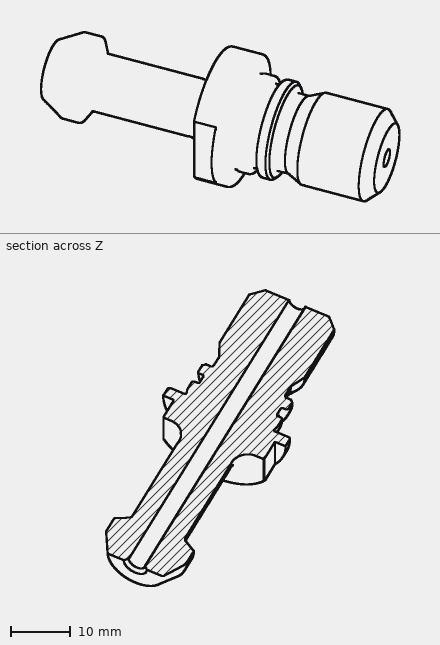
import cadquery as cq
import math

HEAD_CONE_END = 4.0
HEAD_LAND_END = 7.0
FLANGE_FRONT = 29.0
FLANGE_REAR = 35.0
COLLAR_END = 35.35
PILOT_START = 36.0
GROOVE_START = 38.0
GROOVE_END = 39.75
PILOT_END = 42.0
SHANK_START = 47.0
TOTAL_LENGTH = 60.0

HEAD_DIAMETER = 15.0
NECK_DIAMETER = 10.0
NECK_RELIEF_DIAMETER = 9.9
FLANGE_DIAMETER = 23.0
PILOT_DIAMETER = 17.0
COLLAR_DIAMETER = 16.6
GROOVE_DIAMETER = 14.6
RELIEF_DIAMETER = 13.5
SHANK_DIAMETER = 16.0
BORE_DIAMETER = 3.0
COUNTERSINK_DIAMETER = 4.3

HEAD_FRONT_ANGLE = 30.0
HEAD_REAR_ANGLE = 60.0
HEAD_SHOULDER_FILLET = 0.2
NECK_ROOT_FILLET = 0.7
NECK_FLARE_RADIUS = 3.0
NECK_RELIEF_LENGTH = 0.35
NECK_TAPER_LENGTH = 0.18

FLATS_WIDTH = 19.0
FLAT_LENGTH = 4.0
FLAT_CHAMFER = 0.15

COLLAR_FILLET = 0.2
GROOVE_LIP_FILLET = 0.4
GROOVE_ROOT_FILLET = 0.2
PILOT_CHAMFER = 0.5
SHANK_CONE_ANGLE = 25.0
SHANK_CHAMFER = 2.0

EDGE_FILLET = 0.4


def revolve_outline(outline):
    """Turn a half outline about the X axis."""
    return outline.close().revolve(360, (0, 0, 0), (1, 0, 0))


def round_ring(body, station, radius, fillet):
    """Fillet the circular edge of a turned body at one X station."""
    ring_reach = 0.01
    ring = cq.selectors.BoxSelector(
        (station - ring_reach, -radius, -radius), (station + ring_reach, radius, radius)
    )
    return body.edges(ring).fillet(fillet)


def make_head_and_neck():
    """Conical pull head and the neck, which flares into the flange."""
    head_radius = HEAD_DIAMETER / 2
    neck_radius = NECK_DIAMETER / 2
    relief_radius = NECK_RELIEF_DIAMETER / 2
    tip_radius = head_radius - HEAD_CONE_END * math.tan(math.radians(HEAD_FRONT_ANGLE))
    neck_start = HEAD_LAND_END + (head_radius - neck_radius) / math.tan(math.radians(HEAD_REAR_ANGLE))
    flare_start = FLANGE_FRONT - NECK_FLARE_RADIUS
    relief_start = flare_start - NECK_RELIEF_LENGTH
    body = revolve_outline(
        cq.Workplane("XY")
        .lineTo(0, tip_radius)
        .lineTo(HEAD_CONE_END, head_radius)
        .lineTo(HEAD_LAND_END, head_radius)
        .lineTo(neck_start, neck_radius)
        .lineTo(relief_start, neck_radius)
        .lineTo(relief_start + NECK_TAPER_LENGTH, relief_radius)
        .lineTo(flare_start, relief_radius)
        .radiusArc((FLANGE_FRONT, relief_radius + NECK_FLARE_RADIUS), -NECK_FLARE_RADIUS)
        .lineTo(FLANGE_FRONT, 0)
    )
    body = round_ring(body, 0, head_radius, EDGE_FILLET)
    body = round_ring(body, HEAD_CONE_END, head_radius, EDGE_FILLET)
    body = round_ring(body, HEAD_LAND_END, head_radius, HEAD_SHOULDER_FILLET)
    return round_ring(body, neck_start, head_radius, NECK_ROOT_FILLET)


def make_flange():
    """Round flange with two wrench flats that start at its front face."""
    flange_radius = FLANGE_DIAMETER / 2
    flat_offset = FLATS_WIDTH / 2
    flat_end = FLANGE_FRONT + FLAT_LENGTH
    flange = cq.Workplane("YZ", origin=(FLANGE_FRONT, 0, 0)).circle(flange_radius)
    flange = flange.extrude(FLANGE_REAR - FLANGE_FRONT).edges("%CIRCLE").fillet(EDGE_FILLET)
    flat_cutter = (
        cq.Workplane("XY")
        .moveTo(FLANGE_FRONT, flat_offset - FLAT_CHAMFER)
        .lineTo(FLANGE_FRONT + FLAT_CHAMFER, flat_offset)
        .lineTo(flat_end, flat_offset)
        .lineTo(flat_end, FLANGE_DIAMETER)
        .lineTo(FLANGE_FRONT, FLANGE_DIAMETER)
        .close()
        .extrude(flange_radius, both=True)
    )
    return flange.cut(flat_cutter).cut(flat_cutter.mirror("XZ"))


def make_shank():
    """Pilot with its seal groove, relief neck and plain shank."""
    pilot_radius = PILOT_DIAMETER / 2
    groove_radius = GROOVE_DIAMETER / 2
    relief_radius = RELIEF_DIAMETER / 2
    shank_radius = SHANK_DIAMETER / 2
    collar_radius = COLLAR_DIAMETER / 2
    cone_length = (shank_radius - relief_radius) / math.tan(math.radians(SHANK_CONE_ANGLE))
    lip = GROOVE_LIP_FILLET
    root = GROOVE_ROOT_FILLET
    return revolve_outline(
        cq.Workplane("XY")
        .moveTo(FLANGE_REAR, 0)
        .lineTo(FLANGE_REAR, collar_radius + COLLAR_FILLET)
        .radiusArc((FLANGE_REAR + COLLAR_FILLET, collar_radius), -COLLAR_FILLET)
        .lineTo(COLLAR_END, collar_radius)
        .lineTo(PILOT_START, pilot_radius)
        .lineTo(GROOVE_START - lip, pilot_radius)
        .radiusArc((GROOVE_START, pilot_radius - lip), lip)
        .lineTo(GROOVE_START, groove_radius + root)
        .radiusArc((GROOVE_START + root, groove_radius), -root)
        .lineTo(GROOVE_END - root, groove_radius)
        .radiusArc((GROOVE_END, groove_radius + root), -root)
        .lineTo(GROOVE_END, pilot_radius - lip)
        .radiusArc((GROOVE_END + lip, pilot_radius), lip)
        .lineTo(PILOT_END - PILOT_CHAMFER, pilot_radius)
        .lineTo(PILOT_END, pilot_radius - PILOT_CHAMFER)
        .lineTo(PILOT_END, relief_radius + EDGE_FILLET)
        .radiusArc((PILOT_END + EDGE_FILLET, relief_radius), -EDGE_FILLET)
        .lineTo(SHANK_START - cone_length, relief_radius)
        .lineTo(SHANK_START, shank_radius)
        .lineTo(TOTAL_LENGTH - SHANK_CHAMFER, shank_radius)
        .lineTo(TOTAL_LENGTH, shank_radius - SHANK_CHAMFER)
        .lineTo(TOTAL_LENGTH, 0)
    )


def make_bore():
    """Through bore with a 45 degree countersink at the head."""
    bore_radius = BORE_DIAMETER / 2
    mouth_radius = COUNTERSINK_DIAMETER / 2
    return revolve_outline(
        cq.Workplane("XY")
        .lineTo(0, mouth_radius)
        .lineTo(mouth_radius - bore_radius, bore_radius)
        .lineTo(TOTAL_LENGTH, bore_radius)
        .lineTo(TOTAL_LENGTH, 0)
    )


result = make_head_and_neck().union(make_flange()).union(make_shank()).cut(make_bore())